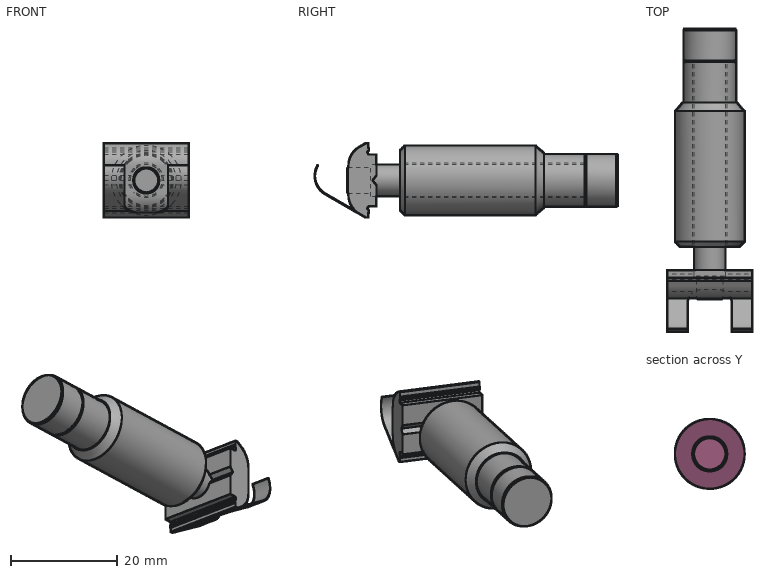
import cadquery as cq
import math


total_length = 57.05
front_y = -11.65
rear_y = front_y + total_length

head_diameter = 10.0
head_length = 5.95
head_chamfer_length = 0.35
head_chamfer_depth = 0.15
shank_diameter = 6.0
tip_diameter = 4.9
shank_seat_depth = 1.15
tip_chamfer = 0.2
collar_diameter = 9.45
collar_length = 0.35

sleeve_diameter = 13.2
sleeve_bore = 6.5
sleeve_neck_diameter = head_diameter
sleeve_front_y = 4.4
sleeve_cone_y = 29.9
cone_break_length = 0.5
cone_length = 1.65
cone_end_diameter = 10.25
sleeve_front_chamfer = 0.95
sleeve_rear_y = rear_y - head_length - collar_length

nut_width = 16.0
nut_height = 14.0
nut_depth = 5.3
rib_half_height = 4.9
shoulder_y = -1.55
lip_y = shoulder_y + 0.15
lip_outer_z = 6.1
lip_inner_z = 5.7
lip_groove_y = -1.7
lip_groove_z = 5.3
rib_root_y = -1.5
notch_half_height = 0.9
notch_depth = 0.75
edge_land = 0.5
bevel_height = 0.7
slope = math.radians(30)

spring_thickness = 0.1
spring_radius = 4.0
curl_end = math.radians(30)
leg_width = 3.9
cutout_y = -3.65
cutout_corner = 2.5

half_height = nut_height / 2
bevel_start_y = shoulder_y - edge_land
bevel_end_y = bevel_start_y - bevel_height / math.tan(slope)
bevel_end_z = half_height - bevel_height
crown_radius = (nut_depth + bevel_end_y) / (1 - math.sin(slope))


def point_on_arc(center, radius, angle):
    """Point of an arc that bulges toward -Y, with the angle measured from -Y toward +Z."""
    return (center[0] - radius * math.cos(angle), center[1] + radius * math.sin(angle))


def make_screw():
    """Cap screw with a reduced tip that passes through the nut."""
    tip_radius = tip_diameter / 2
    head_radius = head_diameter / 2
    profile = [
        (0, -nut_depth - tip_chamfer),
        (tip_radius - tip_chamfer, -nut_depth - tip_chamfer),
        (tip_radius, -nut_depth),
        (tip_radius, -shank_seat_depth),
        (shank_diameter / 2, -shank_seat_depth),
        (shank_diameter / 2, sleeve_rear_y),
        (collar_diameter / 2, sleeve_rear_y),
        (collar_diameter / 2, rear_y - head_length),
        (head_radius, rear_y - head_length),
        (head_radius, rear_y - head_chamfer_length),
        (head_radius - head_chamfer_depth, rear_y),
        (0, rear_y),
    ]
    return cq.Workplane("XY").polyline(profile).close().revolve(360, (0, 0), (0, 1))


def make_sleeve():
    """Bored sleeve with a chamfered front and a conical step down to its neck."""
    bore_radius = sleeve_bore / 2
    outer_radius = sleeve_diameter / 2
    neck_radius = sleeve_neck_diameter / 2
    cone_end_y = sleeve_cone_y + cone_length
    profile = [
        (bore_radius, sleeve_front_y),
        (outer_radius - sleeve_front_chamfer, sleeve_front_y),
        (outer_radius, sleeve_front_y + sleeve_front_chamfer),
        (outer_radius, sleeve_cone_y),
        (outer_radius - cone_break_length, sleeve_cone_y + cone_break_length),
        (cone_end_diameter / 2, cone_end_y),
        (neck_radius, cone_end_y),
        (neck_radius, sleeve_rear_y),
        (bore_radius, sleeve_rear_y),
    ]
    return cq.Workplane("XY").polyline(profile).close().revolve(360, (0, 0), (0, 1))


def make_nut_block():
    """Symmetric slot-nut section extruded across X, with a stepped hole for the screw."""
    crown_z = bevel_end_z - crown_radius * math.cos(slope)
    crown_center = (crown_radius - nut_depth, crown_z)
    crown_middle = point_on_arc(crown_center, crown_radius, (math.pi / 2 - slope) / 2)
    upper_back = [
        (0, notch_half_height),
        (0, rib_half_height),
        (rib_root_y, rib_half_height),
        (lip_groove_y, lip_groove_z),
        (lip_y, lip_inner_z),
        (lip_y, lip_outer_z),
        (shoulder_y, lip_outer_z),
        (shoulder_y, half_height),
        (bevel_start_y, half_height),
        (bevel_end_y, bevel_end_z),
    ]
    lower_back = [(y, -z) for y, z in reversed(upper_back)]
    block = (
        cq.Workplane("YZ")
        .moveTo(-notch_depth, 0)
        .polyline(upper_back, includeCurrent=True)
        .threePointArc(crown_middle, (-nut_depth, crown_z))
        .lineTo(-nut_depth, -crown_z)
        .threePointArc((crown_middle[0], -crown_middle[1]), lower_back[0])
        .polyline(lower_back[1:], includeCurrent=True)
        .close()
        .extrude(nut_width / 2, both=True)
    )
    tip_hole = cq.Workplane("XZ").circle(tip_diameter / 2).extrude(nut_depth)
    shank_seat = cq.Workplane("XZ").circle(shank_diameter / 2).extrude(shank_seat_depth)
    return block.cut(tip_hole).cut(shank_seat)


def make_spring():
    """Thin strip continuing the lower bevel, curled at its end and cut into two legs."""
    inner_radius = spring_radius - spring_thickness
    curl_center_y = front_y + spring_radius
    curl_start_y = curl_center_y - spring_radius * math.sin(slope)
    curl_start_z = -bevel_end_z + (bevel_end_y - curl_start_y) * math.tan(slope)
    curl_center = (curl_center_y, curl_start_z + spring_radius * math.cos(slope))
    curl_start = slope - math.pi / 2
    inner_start = (
        bevel_end_y + spring_thickness * math.sin(slope),
        -bevel_end_z + spring_thickness * math.cos(slope),
    )
    strip = (
        cq.Workplane("YZ")
        .moveTo(bevel_end_y, -bevel_end_z)
        .lineTo(curl_start_y, curl_start_z)
        .threePointArc(
            point_on_arc(curl_center, spring_radius, 0),
            point_on_arc(curl_center, spring_radius, curl_end),
        )
        .lineTo(*point_on_arc(curl_center, inner_radius, curl_end))
        .threePointArc(
            point_on_arc(curl_center, inner_radius, 0),
            point_on_arc(curl_center, inner_radius, curl_start),
        )
        .lineTo(*inner_start)
        .close()
        .extrude(nut_width / 2, both=True)
    )
    cutout_length = 2 * (cutout_y - front_y)
    cutout = (
        cq.Workplane("XY")
        .center(0, cutout_y - cutout_length / 2)
        .rect(nut_width - 2 * leg_width, cutout_length)
        .extrude(nut_height, both=True)
        .edges("|Z")
        .fillet(cutout_corner)
    )
    return strip.cut(cutout)


screw = make_screw()
sleeve = make_sleeve()
nut = make_nut_block().union(make_spring())

result = cq.Compound.makeCompound([screw.val(), sleeve.val(), *nut.solids().vals()])